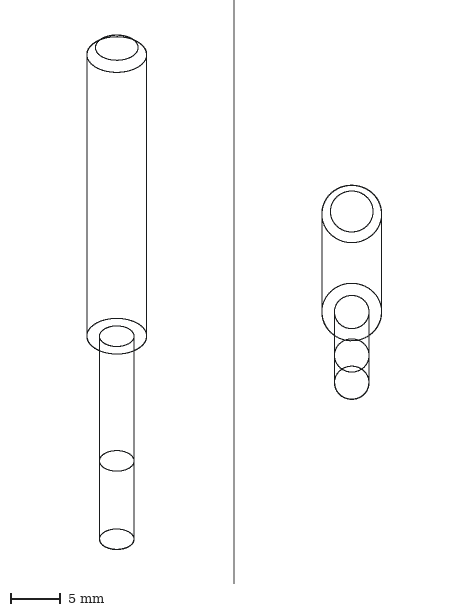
import cadquery as cq
import math

total_length = 62.0
shank_diameter = 6.0
shank_length = 36.0
shank_chamfer = 0.85

drill_diameter = 3.5
cutting_length = 10.4
point_angle = 140.0

shank_bottom = total_length - shank_length
drill_radius = drill_diameter / 2
point_height = drill_radius / math.tan(math.radians(point_angle / 2))


def make_holder():
    """Chamfered shank with the plain neck below it, as one body."""
    shank = (
        cq.Workplane("XY", origin=(0, 0, shank_bottom))
        .circle(shank_diameter / 2)
        .extrude(shank_length)
        .faces(">Z")
        .chamfer(shank_chamfer)
    )
    neck = (
        cq.Workplane("XY", origin=(0, 0, cutting_length))
        .circle(drill_radius)
        .extrude(shank_bottom - cutting_length)
    )
    return shank.union(neck)


def make_cutting_end():
    """Cylindrical cutting end with a conical point, revolved about Z."""
    half_profile = (
        cq.Workplane("XZ")
        .moveTo(0, 0)
        .lineTo(drill_radius, point_height)
        .lineTo(drill_radius, cutting_length)
        .lineTo(0, cutting_length)
        .close()
    )
    return half_profile.revolve(360, (0, 0, 0), (0, 1, 0))


holder = make_holder()
cutting_end = make_cutting_end()

result = cq.Compound.makeCompound([holder.solids().val(), cutting_end.val()])